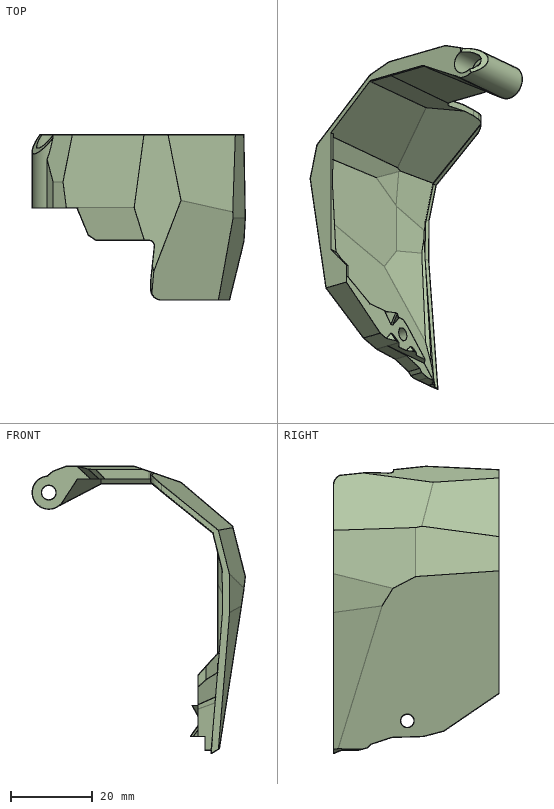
import cadquery as cq

DEPTH = 40.4
BIG = 280.75
CORE = (21.05, 21.05, 35.1)
BELOW = (42.1, 21.05, -70.2)

ROOF_WALL = 1.55
SIDE_WALL = 1.7
RIM_WALL = 1.4
LIP_WALL = 1.7
ROOF_UNDERSIDE = 67.1

FLANGE_START = 37.4
ROOF_FLANGE_START = 38.95
FLANGE_EDGE = 39.8
FLANGE_X = 45.3
FLANGE_Z = 65.85

LIP_DEPTH = 1.1
LIP_END = 1.9

BARREL_X = 4.1
BARREL_Z = 63.7
BARREL_R = 4.1
PIN_R = 1.75
COUNTERBORE_R = 2.95
COUNTERBORE_DEPTH = 7.0
TAB_FRONT = 22.45
TAB_END_X = 16.85
TAB_EDGE_X = 5.1
TAB_CREASE_Y = 28.85

FOOT_X = 40.5
FOOT_Z = 4.15
STEP_X = 42.2
SCREW_Y = 18.05
SCREW_Z = 8.0
SCREW_R = 1.6

RIBS = [
    (22.4, 2.8, 11.8, 9.1, 39.0),
    (22.4, 2.8, FOOT_Z, 6.8, 38.6),
    (14.6, 2.1, FOOT_Z, 5.75, 39.3),
]
RIDGE_HALF_WIDTH = 0.35

BROW_FRONT = 14.6
ROOF_END_X = 10.95

NOTCH_R = 1.3
CORNER_R = 2.75
NOTCH_START_X = 28.5
NOTCH_SIDE_X = 28.9

ROOF_RIDGE_LEFT = (8.3, 22.6, 70.2)
ROOF_RIDGE_RIGHT = (24.9, 22.6, 70.2)
ROOF_BACK = (27.3, DEPTH, 69.35)
ROOF_FRONT = (26.3, BROW_FRONT, 69.35)
SHOULDER_BACK = (33.1, DEPTH, 67.4)
SHOULDER_MID = (36.35, 24.35, 66.25)
SHOULDER_FRONT = (NOTCH_SIDE_X, 4.7, 68.8)
CORNER_BACK = (49.6, DEPTH, 53.0)
CORNER_MID = (49.05, 20.1, 55.25)
CORNER_FRONT = (45.5, 0, 54.55)
WAIST_BACK = (51.65, DEPTH, 44.2)
WAIST_MID = (52.1, 20.1, 43.25)
WAIST_FRONT = (48.15, 0, 43.7)
WAIST_LOW = (51.9, 14.95, 40.7)
CHEEK_FRONT = (48.2, 0, 34.45)
CHEEK_MID = (50.75, 10.5, 35.1)
HEEL_BACK = (45.2, 20.1, 1.1)
HEEL_FRONT = (45.5, 0, 1.1)

ROOF_FACET = (ROOF_RIDGE_LEFT, ROOF_RIDGE_RIGHT, ROOF_BACK)
BROW_FACET = (ROOF_RIDGE_LEFT, ROOF_RIDGE_RIGHT, ROOF_FRONT)
SHOULDER_FACET = (ROOF_BACK, ROOF_RIDGE_RIGHT, SHOULDER_MID)
BACK_SLOPE = (SHOULDER_BACK, SHOULDER_MID, CORNER_BACK)
FRONT_SLOPE = (SHOULDER_MID, SHOULDER_FRONT, CORNER_FRONT)
BACK_SIDE = (CORNER_BACK, CORNER_MID, WAIST_MID)
FRONT_SIDE = (CORNER_MID, CORNER_FRONT, WAIST_MID)
LOW_SIDE = (WAIST_BACK, WAIST_MID, HEEL_BACK)
CHEEK = (WAIST_FRONT, WAIST_LOW, CHEEK_FRONT)
JAW = (CHEEK_FRONT, CHEEK_MID, HEEL_FRONT)
TAB_TOP_FRONT = ((8.35, TAB_FRONT, 70.2), (TAB_EDGE_X, TAB_FRONT, 69.0), (TAB_EDGE_X, TAB_CREASE_Y, 69.0))
TAB_TOP_BACK = ((TAB_EDGE_X, TAB_CREASE_Y, 69.0), (7.6, TAB_CREASE_Y, 69.9), (9.8, DEPTH, 69.35))

INNER_BACK_SLOPE = ((45.8, FLANGE_START, 54.6), (45.8, 17.35, 54.6), (33.7, FLANGE_START, 65.3))
INNER_CORNER = ((45.8, FLANGE_START, 54.6), (48.15, FLANGE_START, 50.1), (48.15, 20.2, 50.1))
INNER_BLEND = ((48.15, 20.2, 50.1), (46.2, 12.1, 53.8), (47.7, 11.4, 47))
INNER_SIDE = ((48.15, FLANGE_START, 50.1), (48.85, FLANGE_START, 34.45), (48.8, 14.75, 28.9))
INNER_LOW_SIDE = ((48.85, FLANGE_START, 34.45), (48.8, 14.75, 28.9), (46.05, LIP_END, 12.5))
INNER_CHEEK = ((47.9, 9.9, 45.6), (48.4, 9.9, 34.4), (47.2, LIP_END, 41.3))
INNER_JAW = ((48.4, 9.9, 34.4), (48.8, 14.75, 28.9), (46.05, LIP_END, 12.5))
LIP_SLOPE = ((46.75, LIP_DEPTH, 34.4), (47.5, LIP_END, 34.4), (46.05, LIP_END, 12.5))

FLANGE_ROOF = ((0, ROOF_FLANGE_START, ROOF_UNDERSIDE), (28.1, ROOF_FLANGE_START, ROOF_UNDERSIDE),
               (0, FLANGE_EDGE, FLANGE_Z))
FLANGE_SIDE = ((48.65, FLANGE_START, 34.4), (48.15, FLANGE_START, 50.1), (FLANGE_X, FLANGE_EDGE, 42.1))
FLANGE_LOW_SIDE = ((48.65, FLANGE_START, 34.4), (46.6, FLANGE_START, 20.2), (FLANGE_X, 38.5, 25.3))


def half_space(points, inside=CORE, inset=0.0):
    """Everything on the `inside` side of the plane through three points, moved inward by `inset`."""
    first, second, third = (cq.Vector(*point) for point in points)
    normal = (second - first).cross(third - first).normalized()
    if normal.dot(cq.Vector(*inside) - first) > 0:
        normal = -normal
    plane = cq.Plane(origin=first - normal * inset, normal=normal)
    return cq.Workplane(plane).rect(2 * BIG, 2 * BIG).extrude(-BIG)


def facet_body(facets, inset=0.0):
    """Convex body bounded by the given facets."""
    body = cq.Workplane("XY").box(BIG, BIG, BIG)
    for facet in facets:
        body = body.intersect(half_space(facet, inset=inset))
    return body


def xz_prism(outline, front, back):
    """Extrude a closed XZ sketch from y = front to y = back."""
    return outline.extrude(-(back - front)).translate((0, front, 0))


def slab(front, back):
    """All space between two depths."""
    return cq.Workplane("XY").box(BIG, back - front, BIG).translate((0, (front + back) / 2, 0))


def outer_body():
    return facet_body([ROOF_FACET, BROW_FACET, SHOULDER_FACET, BACK_SLOPE, FRONT_SLOPE, BACK_SIDE,
                       FRONT_SIDE, LOW_SIDE, CHEEK, JAW, TAB_TOP_FRONT, TAB_TOP_BACK])


def hollow():
    """Inner space, with a narrower mouth at the front lip and at the back flange."""
    roof_walls = facet_body([SHOULDER_FACET, FRONT_SLOPE], ROOF_WALL)
    side_wall = half_space(FRONT_SIDE, inset=SIDE_WALL)
    ceiling = half_space(((0, 0, ROOF_UNDERSIDE), (0.7, 0, ROOF_UNDERSIDE), (0, 0.7, ROOF_UNDERSIDE)))
    room = facet_body([INNER_BACK_SLOPE, INNER_CORNER, INNER_BLEND, INNER_SIDE, INNER_LOW_SIDE,
                       INNER_CHEEK, INNER_JAW, LIP_SLOPE, FLANGE_ROOF, FLANGE_SIDE, FLANGE_LOW_SIDE])
    room = room.intersect(roof_walls).intersect(side_wall).intersect(ceiling)
    room = room.intersect(slab(LIP_DEPTH, FLANGE_EDGE))

    front_mouth = facet_body([SHOULDER_FACET, FRONT_SLOPE, FRONT_SIDE], RIM_WALL)
    front_mouth = front_mouth.intersect(facet_body([CHEEK, JAW], LIP_WALL))
    front_mouth = front_mouth.intersect(slab(-0.7, LIP_DEPTH + 0.1))

    back_mouth = facet_body([
        ((0, 0, FLANGE_Z), (0.7, 0, FLANGE_Z), (0, 0.7, FLANGE_Z)),
        ((FLANGE_X, 0, 0), (FLANGE_X, 0.7, 0), (FLANGE_X, 0, 0.7)),
        INNER_BACK_SLOPE,
    ])
    back_mouth = back_mouth.intersect(facet_body([SHOULDER_FACET], ROOF_WALL))
    back_mouth = back_mouth.intersect(slab(FLANGE_START, DEPTH + 0.7))
    return room.union(front_mouth).union(back_mouth)


def plan_outline():
    """Outline seen from above: notched at the front left, rounded at the front corner."""
    return (
        cq.Workplane("XY")
        .moveTo(TAB_EDGE_X, DEPTH)
        .lineTo(TAB_EDGE_X, TAB_FRONT)
        .lineTo(ROOF_END_X, TAB_FRONT)
        .lineTo(ROOF_END_X, BROW_FRONT)
        .lineTo(NOTCH_START_X, BROW_FRONT)
        .radiusArc((NOTCH_START_X + NOTCH_R, BROW_FRONT - NOTCH_R), NOTCH_R)
        .lineTo(NOTCH_SIDE_X, 4.7)
        .lineTo(NOTCH_SIDE_X, CORNER_R)
        .radiusArc((NOTCH_SIDE_X + CORNER_R, 0), -CORNER_R)
        .lineTo(BIG, 0)
        .lineTo(BIG, DEPTH)
        .close()
        .extrude(BIG)
    )


def undercut_edges():
    """Space removed to slant the roof edge beside the tab inward toward its underside."""
    left_face = ((ROOF_END_X, TAB_FRONT, 70.2), (13.7, 15.85, 69.5), (16.1, 15.85, 67.25))
    corner_face = ((13.7, 15.85, 69.5), (15.5, BROW_FRONT, 69.4), (17.6, BROW_FRONT, 67.25))
    outside = (0, 0, 66.7)
    space = half_space(left_face, outside).union(half_space(corner_face, outside))
    region = cq.Workplane("XY").box(28.1, TAB_FRONT, 14.05, centered=False).translate((0, 0, 63.2))
    return space.intersect(region)


def side_outline():
    """Outline seen along X: the bottom edge rises in steps toward the back."""
    points = [(0, 0), (1.9, 0.8), (6.0, 0.8), (8.35, 1.4), (9.1, 2.25), (14.25, 3.9), (21.9, FOOT_Z),
              (26.95, 5.5), (DEPTH, 14.7), (DEPTH, BIG), (0, BIG)]
    return cq.Workplane("YZ").polyline(points).close().extrude(BIG)


def hinge_tab(envelope):
    """Barrel and gusset joining it to the roof, with a slanted back end."""
    barrel = xz_prism(cq.Workplane("XZ").center(BARREL_X, BARREL_Z).circle(BARREL_R), TAB_FRONT, DEPTH)
    gusset_points = [(BARREL_X, BARREL_Z), (3.5, 67.65), (TAB_EDGE_X, 69.0), (8.1, 77.2), (TAB_END_X, 77.2),
                     (TAB_END_X, FLANGE_Z), (6.9, 60.65)]
    gusset = xz_prism(cq.Workplane("XZ").polyline(gusset_points).close(), TAB_FRONT, DEPTH)
    relief = ((6.9, TAB_FRONT, 60.65), (11.5, TAB_FRONT, 67.7), (16.8, FLANGE_START, FLANGE_Z))
    gusset = gusset.intersect(half_space(relief, inside=(BARREL_X, TAB_FRONT, BARREL_Z)))
    slant = ((6.1, DEPTH, 68.1), (1.8, DEPTH, 60.2), (0.2, 36.5, 63.9))
    tab = barrel.union(gusset.intersect(envelope))
    return tab.intersect(half_space(slant, inside=CORE))


def hinge_bore():
    center = cq.Workplane("XZ").center(BARREL_X, BARREL_Z)
    pin_hole = xz_prism(center.circle(PIN_R), TAB_FRONT - 0.7, DEPTH + 0.7)
    counterbore = xz_prism(center.circle(COUNTERBORE_R), DEPTH - COUNTERBORE_DEPTH, DEPTH + 0.7)
    return pin_hole.union(counterbore)


def foot(envelope):
    """Solid block on the inner wall with four sloped top faces."""
    back_top = half_space(((FOOT_X, 40, 16.35), (FOOT_X, 31.3, 12.1), (46.2, FLANGE_START, 20.2)), BELOW)
    mid_top = half_space(((FOOT_X, 31.3, 11.9), (FOOT_X, 17.8, 11.9), (45.3, 21.05, 14.05)), BELOW)
    front_top = half_space(((FOOT_X, 16.35, 10.9), (FOOT_X, 9.1, FOOT_Z), (45.5, 14.0, 13.5)), BELOW)
    knuckle = half_space(((FOOT_X, 17.8, 11.85), (FOOT_X, 16.35, 10.9), (45.6, 14.9, 14.0)), BELOW)
    block = cq.Workplane("XY").box(21.05, DEPTH, 28.1, centered=False).translate((FOOT_X, 0, 0))
    block = block.intersect(back_top.union(mid_top)).intersect(knuckle).intersect(front_top)
    step = cq.Workplane("XY").box(STEP_X, DEPTH, FOOT_Z, centered=False)
    return block.cut(step).intersect(envelope)


def flange_wing(envelope):
    """Lower end of the back flange, widening down to the foot."""
    points = [(FLANGE_X, 24.4), (FOOT_X, 19.15), (FOOT_X, 10.5), (49.1, 10.5), (49.1, 24.4)]
    wing = xz_prism(cq.Workplane("XZ").polyline(points).close(), FLANGE_START, DEPTH)
    face = ((42.5, FLANGE_EDGE, 21.05), (42.5, FLANGE_EDGE, 14.05), (46.0, 37.9, 23.85))
    slanted = half_space(face, inside=(FLANGE_X, DEPTH, 21.05))
    return wing.intersect(slanted.union(slab(FLANGE_EDGE, DEPTH))).intersect(envelope)


def foot_rib(y, half_width, base_z, tip_z, reach):
    """Pointed rib with a narrow ridge: widest and farthest out at base_z, fading out at tip_z."""
    root = FOOT_X + 0.7
    inside = (FOOT_X, y, (2 * base_z + tip_z) / 3)
    rib = cq.Workplane("XY").box(root - reach, 4 * half_width, abs(tip_z - base_z))
    rib = rib.translate(((reach + root) / 2, y, (base_z + tip_z) / 2))
    ridge = ((reach, y, base_z), (reach, y + 0.7, base_z), (FOOT_X, y, tip_z))
    rib = rib.intersect(half_space(ridge, inside))
    for side in (-1, 1):
        ridge_y = y + side * RIDGE_HALF_WIDTH
        corner = (FOOT_X, y + side * half_width, base_z)
        flank = ((reach, ridge_y, base_z), (FOOT_X, ridge_y, tip_z), corner)
        rib = rib.intersect(half_space(flank, inside))
    return rib


envelope = outer_body()
heel_slant = half_space(((43.8, 0, 0), (45.6, 0, 1.1), (43.8, 0.7, 0)))
body = envelope.cut(hollow()).intersect(plan_outline()).cut(undercut_edges())
body = body.union(foot(envelope)).union(flange_wing(envelope))
for rib_sizes in RIBS:
    body = body.union(foot_rib(*rib_sizes))
body = body.intersect(side_outline()).intersect(heel_slant)
body = body.union(hinge_tab(envelope)).cut(hinge_bore())
screw_hole = cq.Workplane("YZ").center(SCREW_Y, SCREW_Z).circle(SCREW_R).extrude(BIG)
result = body.cut(screw_hole)